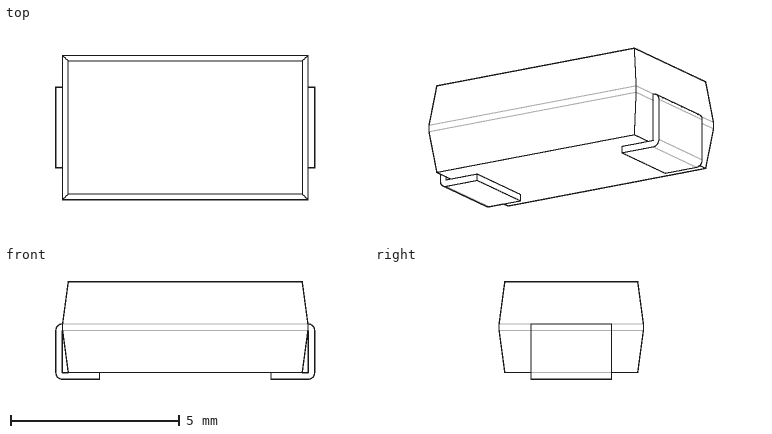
import cadquery as cq
import math

overall_length = 7.7
lead_thickness = 0.2
lead_width = 2.4
lead_foot_length = 1.3
lead_bend_radius = lead_thickness

housing_length = overall_length - 2 * lead_thickness
housing_width = 4.3
housing_bottom = lead_thickness
housing_top = 2.9
band_height = lead_thickness
band_bottom = (housing_bottom + housing_top - band_height) / 2
band_top = band_bottom + band_height
taper_inset = 0.17

lead_top = band_top


def tapered_half(parting_height, end_height):
    """Frustum from the full housing outline to the smaller flat end face."""
    return (
        cq.Workplane("XY", origin=(0, 0, parting_height))
        .rect(housing_length, housing_width)
        .workplane(offset=end_height - parting_height)
        .rect(housing_length - 2 * taper_inset, housing_width - 2 * taper_inset)
        .loft(ruled=True)
    )


def make_housing():
    """Plastic housing with its upper half, parting band and lower half."""
    band = (
        cq.Workplane("XY", origin=(0, 0, band_bottom))
        .rect(housing_length, housing_width)
        .extrude(band_height)
    )
    upper_half = tapered_half(band_top, housing_top)
    lower_half = tapered_half(band_bottom, housing_bottom)
    return band.union(upper_half).union(lower_half)


def make_lead(side):
    """Lead that leaves the end of the housing, bends down and folds under it; side is -1 or 1."""
    outer_x = side * overall_length / 2
    inner_x = side * housing_length / 2
    foot_x = side * (overall_length / 2 - lead_foot_length)
    bend_offset = lead_bend_radius * (1 - math.cos(math.pi / 4))
    bend_mid_x = outer_x - side * bend_offset
    profile = (
        cq.Workplane("XZ", origin=(0, lead_width / 2, 0))
        .moveTo(foot_x, 0)
        .lineTo(inner_x, 0)
        .threePointArc((bend_mid_x, bend_offset), (outer_x, lead_bend_radius))
        .lineTo(outer_x, lead_top - lead_bend_radius)
        .threePointArc((bend_mid_x, lead_top - bend_offset), (inner_x, lead_top))
        .lineTo(inner_x, lead_thickness)
        .lineTo(foot_x, lead_thickness)
        .close()
    )
    return profile.extrude(lead_width)


housing = make_housing()
leads = [make_lead(side) for side in (-1, 1)]

result = cq.Compound.makeCompound([housing.val(), *[lead.val() for lead in leads]])